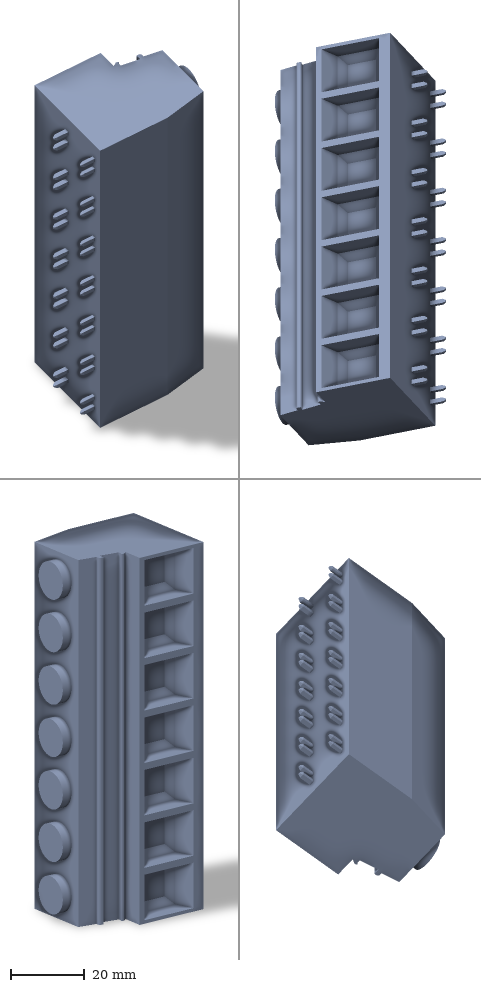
import cadquery as cq
import math

pole_count = 7
height = 105.0
pitch = height / pole_count

width = 31.0
depth = 36.1
step_y = 21.8
top_left_x = 8.7
top_right_x = 28.1
shoulder_y = 22.3

wall_lean = 1 / 6
wall_setback = 0.5

upper_rib_top_y = 30.7
upper_rib_bottom_y = 29.3
upper_rib_tip_x = 6.4
upper_rib_nose_radius = 0.8
lower_rib_top_y = 23.5
lower_rib_root_x = 6.2
lower_rib_tip_x = 5.5
lower_rib_tip_height = 0.5
barb_height = 0.3
barb_width = 0.5
barb_point = 0.3

screw_x = 17.1
screw_diameter = 10.7
screw_height = 2.9

funnel_mouth = (0.0, 3.4, 20.3, 13.0)
funnel_throat = (5.6, 5.5, 17.8, 13.0)
funnel_floor = (7.6, 7.5, 15.8, 8.7)

pin_rows = ((15.2, 1.4), (27.9, 1.0))
pin_spacing_z = 3.8
pin_thickness_z = 1.3
pin_length = 4.4
pin_tip_length = 0.8
pin_tip_size = 0.5


def wall_x(y):
    """X of the upper stretch of the sloped left wall at height y."""
    return top_left_x - wall_lean * (depth - y)


def make_housing():
    nose_end_x = upper_rib_tip_x + upper_rib_nose_radius
    nose_end_y = upper_rib_top_y - upper_rib_nose_radius
    nose_mid = (
        nose_end_x - upper_rib_nose_radius * math.sqrt(0.5),
        nose_end_y + upper_rib_nose_radius * math.sqrt(0.5),
    )
    upper_wall = [
        (width, 0),
        (width, shoulder_y),
        (top_right_x, depth),
        (top_left_x, depth),
        (wall_x(upper_rib_top_y), upper_rib_top_y),
        (nose_end_x, upper_rib_top_y),
    ]
    upper_barb = [
        (upper_rib_tip_x, upper_rib_bottom_y),
        (upper_rib_tip_x + barb_point, upper_rib_bottom_y - barb_height),
        (upper_rib_tip_x + barb_width, upper_rib_bottom_y),
    ]
    lower_wall = [
        (wall_x(upper_rib_bottom_y) + wall_setback, upper_rib_bottom_y),
        (wall_x(lower_rib_top_y) + wall_setback, lower_rib_top_y),
    ]
    lower_rib = [
        (lower_rib_tip_x + barb_width, lower_rib_top_y),
        (lower_rib_tip_x + barb_point, lower_rib_top_y + barb_height),
        (lower_rib_tip_x, lower_rib_top_y),
        (lower_rib_tip_x, lower_rib_top_y - lower_rib_tip_height),
        (lower_rib_root_x, step_y),
        (0, step_y),
    ]
    return (
        cq.Workplane("XY")
        .polyline([(0, 0)] + upper_wall)
        .threePointArc(nose_mid, (upper_rib_tip_x, nose_end_y))
        .polyline(upper_barb + lower_wall + lower_rib, includeCurrent=True)
        .close()
        .extrude(height)
    )


def section_wire(section, z):
    """Rectangular funnel section centred at height z."""
    x, low_y, high_y, z_size = section
    low_z = z - z_size / 2
    high_z = z + z_size / 2
    corners = [(x, low_y, low_z), (x, high_y, low_z), (x, high_y, high_z), (x, low_y, high_z)]
    return cq.Wire.makePolygon([cq.Vector(*corner) for corner in corners], close=True)


def make_funnel(z):
    mouth, throat, floor = (section_wire(s, z) for s in (funnel_mouth, funnel_throat, funnel_floor))
    entry = cq.Solid.makeLoft([mouth, throat], True)
    end = cq.Solid.makeLoft([throat, floor], True)
    return cq.Workplane(entry).union(cq.Workplane(end))


def make_screw(z):
    plane = cq.Plane(origin=(screw_x, depth, z), xDir=(1, 0, 0), normal=(0, 1, 0))
    return cq.Workplane(plane).circle(screw_diameter / 2).extrude(screw_height)


def make_pin(x, x_width, z):
    shank_length = pin_length - pin_tip_length
    plane = cq.Plane(origin=(x, 0, z), xDir=(1, 0, 0), normal=(0, -1, 0))
    shank = cq.Workplane(plane).rect(x_width, pin_thickness_z).extrude(shank_length)
    tip = (
        shank.faces("<Y").workplane()
        .rect(x_width, pin_thickness_z)
        .workplane(offset=pin_tip_length)
        .rect(pin_tip_size, pin_tip_size)
        .loft(ruled=True, combine=False)
    )
    return shank.union(tip)


result = make_housing()
for pole in range(pole_count):
    pole_z = (pole + 0.5) * pitch
    result = result.cut(make_funnel(pole_z))
    result = result.union(make_screw(pole_z))
    for pin_x, pin_width in pin_rows:
        for side in (-1, 1):
            result = result.union(make_pin(pin_x, pin_width, pole_z + side * pin_spacing_z / 2))